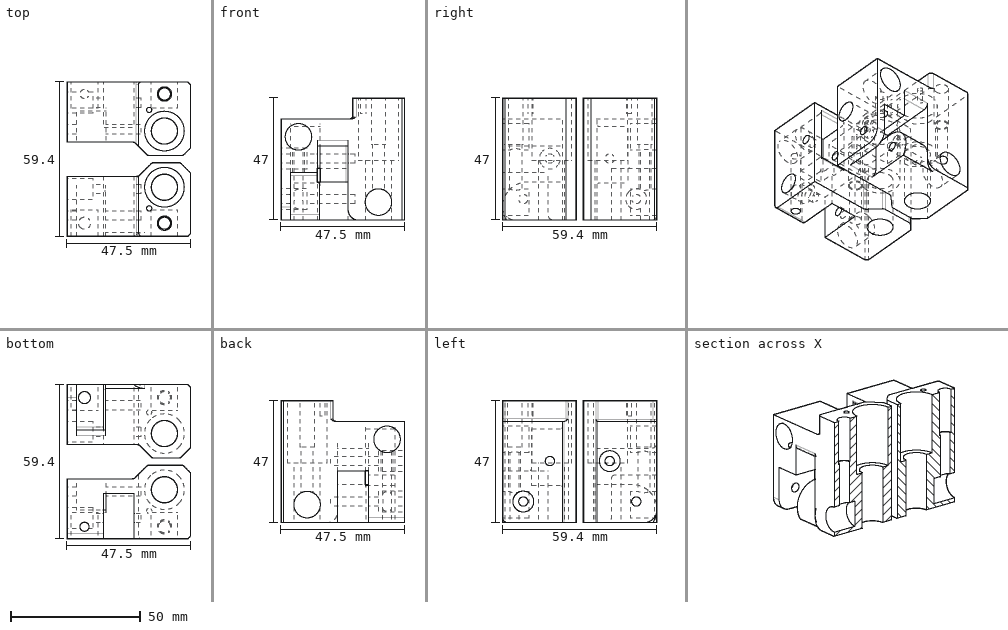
import cadquery as cq


TOTAL_WIDTH = 59.4
LENGTH = 47.5
HEIGHT = 47.0
HEAD_DEPTH = 28.4
ARM_DEPTH = 23.1
ARM_HEIGHT = 39.0
HEAD_X = 27.5
OUTER_CHAMFER = 1.0
CHEEK_ROUND = 1.5
NECK_ROUND = 1.8
WALL_ROUND = 1.0
OVERCUT = 0.6
SELECT_MARGIN = 0.05

BORE_X = 37.5
BORE_Y = 18.9
SEAT_DIAMETER = 15.25
SEAT_DEPTH = 24.0
ROD_DIAMETER = 10.0
RIGHT_BOLT_Y = 5.05
LEFT_BOLT_Y = 4.65
BOLT_ENTRY_DIAMETER = 5.5
BOLT_ENTRY_DEPTH = 17.8
BOLT_DIAMETER = 4.65
DOWEL_X = 31.6
DOWEL_Y = 10.75
DOWEL_DIAMETER = 2.0
DOWEL_DEPTH = 5.95

BARREL_DIAMETER = 10.2
BARREL_DEPTH = 2 * RIGHT_BOLT_Y
HEAD_BARREL_Z = 6.95
ARM_BARREL_X = 6.7
ARM_BARREL_Z = 32.1
LEFT_ARM_BOLT_DIAMETER = 3.5

LOW_PIN = (7.95, 8.15)
HIGH_PIN = (18.2, 23.7)
PIN_DIAMETER = 3.55
PIN_END_X = 28.5
PIN_HEAD_DIAMETER = 8.0
PIN_HEAD_DEPTH = 10.0

PLATE_THICKNESS = 3.6
KNUCKLE_X = 13.95
SLOT_END_X = 25.85
SLOT_DEPTH = 17.45

BOSS_X = 14.75
BOSS_TOP = 14.7
BOSS_RADIUS = 9.5
UPPER_SLOT_TOP = 28.65
UPPER_SLOT_ROUND = 2.0
LEG_ROUND = 4.0
LOWER_SLOT_TOP = 18.3
LOWER_SLOT_TOP_ROUND = 1.2
LOWER_SLOT_HEEL_ROUND = 2.15
RIGHT_TOE_ROUND = 5.0

WINDOW_END_X = 15.0
WINDOW_BOTTOM = 14.4
WINDOW_TOP = 36.0
WINDOW_DEPTH = 12.0
WINDOW_ROUND = 1.0
LOWER_OPENING_TOP = 19.9
LEFT_TOE_ROUND = 2.0


def round_along_x(diameter, center, x0, x1):
    """Cylinder along X, centred on a (Y, Z) point."""
    return cq.Workplane("YZ", origin=(x0, 0, 0)).center(*center).circle(diameter / 2).extrude(x1 - x0)


def round_along_z(diameter, x, y, z0, z1):
    """Cylinder along Z."""
    return cq.Workplane("XY", origin=(x, y, z0)).circle(diameter / 2).extrude(z1 - z0)


def barrel_hole(x, z):
    """Blind hole for a barrel nut, sunk from the outer face."""
    return cq.Workplane("XZ").center(x, z).circle(BARREL_DIAMETER / 2).extrude(-BARREL_DEPTH)


def edge_at(x, y):
    """Selector for the vertical edge that runs through (x, y)."""
    return cq.selectors.BoxSelector(
        (x - SELECT_MARGIN, y - SELECT_MARGIN, 0),
        (x + SELECT_MARGIN, y + SELECT_MARGIN, HEIGHT + OVERCUT),
    )


def block(cheek_x, far_chamfer, corner_round, ledge_round):
    """Arm and taller head; the inner cheek of the head slopes at 45 degrees and ends at cheek_x."""
    neck_x = cheek_x - (HEAD_DEPTH - ARM_DEPTH)
    body = (
        cq.Workplane("XY")
        .polyline([
            (0, 0),
            (LENGTH - OUTER_CHAMFER, 0),
            (LENGTH, OUTER_CHAMFER),
            (LENGTH, HEAD_DEPTH - far_chamfer),
            (LENGTH - far_chamfer, HEAD_DEPTH),
            (cheek_x, HEAD_DEPTH),
            (neck_x, ARM_DEPTH),
            (0, ARM_DEPTH),
        ])
        .close()
        .extrude(HEIGHT)
    )
    for corner_x in (cheek_x, LENGTH - far_chamfer):
        body = body.edges(edge_at(corner_x, HEAD_DEPTH)).fillet(CHEEK_ROUND)
    body = body.edges(edge_at(neck_x, ARM_DEPTH)).fillet(NECK_ROUND)
    return body.cut(ledge_cut(neck_x, corner_round, ledge_round))


def ledge_cut(neck_x, corner_round, ledge_round):
    """Space above the arm, bounded by the rounded front of the head and a cove along its foot."""
    wall_end_y = ARM_DEPTH + HEAD_X - neck_x
    far_y = HEAD_DEPTH + OVERCUT
    cheek_run = far_y - wall_end_y
    space = (
        cq.Workplane("XY", origin=(0, 0, ARM_HEIGHT))
        .moveTo(-OVERCUT, -OVERCUT)
        .lineTo(HEAD_X + corner_round, -OVERCUT)
        .lineTo(HEAD_X + corner_round, 0)
        .radiusArc((HEAD_X, corner_round), corner_round)
        .lineTo(HEAD_X, wall_end_y)
        .lineTo(HEAD_X + cheek_run, far_y)
        .lineTo(-OVERCUT, far_y)
        .close()
        .extrude(HEIGHT - ARM_HEIGHT + OVERCUT)
    )
    space = space.edges(edge_at(HEAD_X, wall_end_y)).fillet(WALL_ROUND)
    foot = cq.selectors.BoxSelector(
        (HEAD_X - SELECT_MARGIN, corner_round, ARM_HEIGHT - SELECT_MARGIN),
        (HEAD_X + SELECT_MARGIN, wall_end_y, ARM_HEIGHT + SELECT_MARGIN),
    )
    return space.edges(foot).fillet(ledge_round)


def head_holes(bolt_y):
    """Stepped rod bore, stepped bolt hole with its barrel nut, and the small dowel hole."""
    holes = round_along_z(ROD_DIAMETER, BORE_X, BORE_Y, 0, HEIGHT)
    holes = holes.union(round_along_z(SEAT_DIAMETER, BORE_X, BORE_Y, HEIGHT - SEAT_DEPTH, HEIGHT))
    holes = holes.union(round_along_z(BOLT_DIAMETER, BORE_X, bolt_y, HEAD_BARREL_Z, HEIGHT))
    bolt_entry = round_along_z(BOLT_ENTRY_DIAMETER, BORE_X, bolt_y, HEIGHT - BOLT_ENTRY_DEPTH, HEIGHT)
    dowel = round_along_z(DOWEL_DIAMETER, DOWEL_X, DOWEL_Y, HEIGHT - DOWEL_DEPTH, HEIGHT)
    return holes.union(bolt_entry).union(dowel).union(barrel_hole(BORE_X, HEAD_BARREL_Z))


def arm_bolt_holes(bolt_y, bolt_diameter):
    """Barrel nut hole in the arm and the bolt hole from it down to the bottom."""
    bolt = round_along_z(bolt_diameter, ARM_BARREL_X, bolt_y, 0, ARM_BARREL_Z)
    return bolt.union(barrel_hole(ARM_BARREL_X, ARM_BARREL_Z))


def pin_holes(head_pin):
    """Both pin holes, with a counterbore for the pin head on one of them."""
    holes = round_along_x(PIN_HEAD_DIAMETER, head_pin, 0, PIN_HEAD_DEPTH)
    for pin in (LOW_PIN, HIGH_PIN):
        holes = holes.union(round_along_x(PIN_DIAMETER, pin, 0, PIN_END_X))
    return holes


def right_upper_slot():
    """Slot through the arm above the boss, flared at the outer top edge."""
    return (
        cq.Workplane("YZ", origin=(KNUCKLE_X, 0, 0))
        .moveTo(0, BOSS_TOP)
        .lineTo(ARM_DEPTH + OVERCUT, BOSS_TOP)
        .lineTo(ARM_DEPTH + OVERCUT, UPPER_SLOT_TOP)
        .lineTo(UPPER_SLOT_ROUND, UPPER_SLOT_TOP)
        .radiusArc((0, UPPER_SLOT_TOP + UPPER_SLOT_ROUND), UPPER_SLOT_ROUND)
        .close()
        .extrude(SLOT_END_X - KNUCKLE_X)
    )


def right_boss_clearance():
    """Space in front of the round boss, bounded by the rounded toe of the head leg."""
    space = (
        cq.Workplane("XZ")
        .moveTo(BOSS_X, 0)
        .lineTo(SLOT_END_X + LEG_ROUND, 0)
        .radiusArc((SLOT_END_X, LEG_ROUND), LEG_ROUND)
        .lineTo(SLOT_END_X, BOSS_TOP)
        .lineTo(BOSS_X, BOSS_TOP)
        .close()
        .extrude(-BOSS_RADIUS)
    )
    boss_center = (BOSS_RADIUS, BOSS_TOP - BOSS_RADIUS)
    return space.cut(round_along_x(2 * BOSS_RADIUS, boss_center, 0, LENGTH))


def right_lower_slot():
    """Blind slot beside the boss, open to the outer face and to the bottom."""
    return (
        cq.Workplane("YZ", origin=(PLATE_THICKNESS, 0, 0))
        .lineTo(SLOT_DEPTH + LOWER_SLOT_HEEL_ROUND, 0)
        .radiusArc((SLOT_DEPTH, LOWER_SLOT_HEEL_ROUND), LOWER_SLOT_HEEL_ROUND)
        .lineTo(SLOT_DEPTH, LOWER_SLOT_TOP - LOWER_SLOT_TOP_ROUND)
        .radiusArc((SLOT_DEPTH - LOWER_SLOT_TOP_ROUND, LOWER_SLOT_TOP), -LOWER_SLOT_TOP_ROUND)
        .lineTo(0, LOWER_SLOT_TOP)
        .close()
        .extrude(BOSS_X - PLATE_THICKNESS)
    )


def toe_cut(radius, x1):
    """Material removed to round the outer bottom edge of the arm from X = 0 to x1."""
    return (
        cq.Workplane("YZ")
        .lineTo(radius, 0)
        .radiusArc((0, radius), radius)
        .close()
        .extrude(x1)
    )


def right_block():
    body = block(cheek_x=32.8, far_chamfer=4.0, corner_round=1.5, ledge_round=0.8)
    body = body.cut(head_holes(RIGHT_BOLT_Y)).cut(pin_holes(HIGH_PIN))
    body = body.cut(right_upper_slot()).cut(right_boss_clearance()).cut(right_lower_slot())
    body = body.cut(toe_cut(RIGHT_TOE_ROUND, PLATE_THICKNESS))
    return body.cut(arm_bolt_holes(RIGHT_BOLT_Y, BOLT_DIAMETER))


def left_window():
    """Blind window in the inner face, flared at its top and bottom edges."""
    back_y = ARM_DEPTH - WINDOW_DEPTH
    flare_y = ARM_DEPTH - WINDOW_ROUND
    return (
        cq.Workplane("YZ", origin=(PLATE_THICKNESS, 0, 0))
        .moveTo(back_y, WINDOW_BOTTOM)
        .lineTo(flare_y, WINDOW_BOTTOM)
        .radiusArc((ARM_DEPTH, WINDOW_BOTTOM - WINDOW_ROUND), WINDOW_ROUND)
        .lineTo(ARM_DEPTH, WINDOW_TOP + WINDOW_ROUND)
        .radiusArc((flare_y, WINDOW_TOP), WINDOW_ROUND)
        .lineTo(back_y, WINDOW_TOP)
        .close()
        .extrude(WINDOW_END_X - PLATE_THICKNESS)
    )


def left_lower_opening():
    """Opening at the outer bottom, whose top edge is rounded where it breaks into the window."""
    back_y = ARM_DEPTH - WINDOW_DEPTH
    opening = (
        cq.Workplane("XY")
        .box(SLOT_END_X - KNUCKLE_X, SLOT_DEPTH, LOWER_OPENING_TOP, centered=False)
        .translate((KNUCKLE_X, 0, 0))
    )
    edge_round = (
        cq.Workplane("YZ", origin=(KNUCKLE_X, 0, 0))
        .moveTo(back_y - WINDOW_ROUND, LOWER_OPENING_TOP)
        .lineTo(back_y, LOWER_OPENING_TOP)
        .lineTo(back_y, LOWER_OPENING_TOP + WINDOW_ROUND)
        .radiusArc((back_y - WINDOW_ROUND, LOWER_OPENING_TOP), WINDOW_ROUND)
        .close()
        .extrude(WINDOW_END_X - KNUCKLE_X)
    )
    return opening.union(edge_round)


def left_block():
    body = block(cheek_x=31.05, far_chamfer=2.95, corner_round=1.0, ledge_round=1.0)
    body = body.cut(head_holes(LEFT_BOLT_Y)).cut(pin_holes(LOW_PIN))
    body = body.cut(left_window()).cut(left_lower_opening())
    body = body.cut(toe_cut(LEFT_TOE_ROUND, KNUCKLE_X))
    body = body.cut(arm_bolt_holes(LEFT_BOLT_Y, LEFT_ARM_BOLT_DIAMETER))
    return body.mirror("XZ").translate((0, TOTAL_WIDTH, 0))


right_hinge_block = right_block()
left_hinge_block = left_block()
result = cq.Compound.makeCompound([right_hinge_block.val(), left_hinge_block.val()])